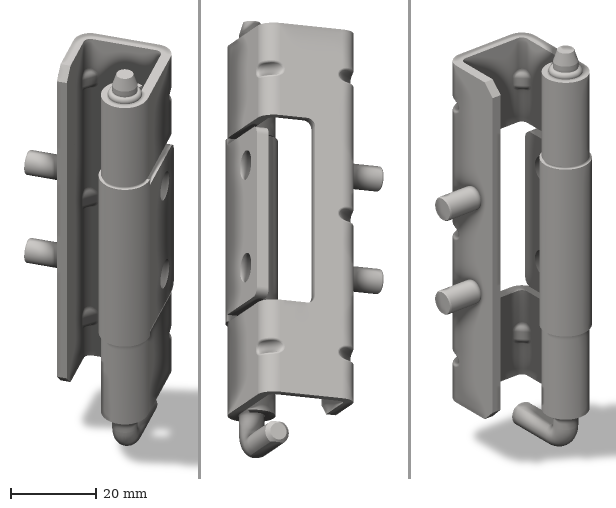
import cadquery as cq
import math


BORE_DIA = 6.4
CURL_END_ANGLE = 60

BRACKET_THICKNESS = 2.5
BRACKET_HEIGHT = 90.0
BRACKET_WIDTH = 23.9
BRACKET_BACK_Y = 22.4
BRACKET_BEND_RADIUS = 4.0
SHORT_LEG_END_Y = 4.8
SHORT_LEG_CHAMFER = 3.0
WINDOW_HEIGHT = 45.0
WINDOW_DEPTH = 12.9
WINDOW_FILLET = 2.0

RIB_SPACING = 33.9
RIB_COUNT = 3
RIB_HEIGHT = 4.5
RIB_EDGE_FILLET = 1.3
RIB_LEG = 2.9
RIB_BLEND_RADIUS = 0.6
GROOVE_HEIGHT = 3.0
GROOVE_RIM_RADIUS = 0.5
GROOVE_LEG = 5.0

LEAF_THICKNESS = 3.0
LEAF_GAP = 0.4
LEAF_PLATE_INSET = 1.6
LEAF_END_Y = 19.1
LEAF_CORNER_RADIUS = 2.0
LEAF_HOLE_DIA = 7.0

STUD_SPACING = 25.0
STUD_Y = 11.9
STUD_DIA = 6.0
STUD_LENGTH = 9.4
STUD_NECK_DIA = 5.8
STUD_NECK_LENGTH = 0.3
STUD_CHAMFER_LENGTH = 0.3
STUD_CHAMFER_DEPTH = 0.2

PIN_DIA = 6.0
PIN_TOP = 5.9
PIN_CONE_HEIGHT = 3.0
PIN_TIP_DIA = 4.0
PIN_BOTTOM = 10.6
ARM_HEIGHT = 5.0
ARM_END_Y = 17.3
ARM_CHAMFER = 1.0
BEND_INNER_RADIUS = 1.0

RING_OUTER_DIA = 8.0
RING_HEIGHT = 1.3

BORE_RADIUS = BORE_DIA / 2
PIN_RADIUS = PIN_DIA / 2
MID_Z = BRACKET_HEIGHT / 2
BRACKET_RIGHT_X = BORE_RADIUS + BRACKET_THICKNESS
BRACKET_LEFT_X = BRACKET_RIGHT_X - BRACKET_WIDTH
BRACKET_MID_X = BRACKET_RIGHT_X - BRACKET_WIDTH / 2
WINDOW_BOTTOM_Z = MID_Z - WINDOW_HEIGHT / 2
LEAF_HEIGHT = WINDOW_HEIGHT - LEAF_GAP
STUD_HEIGHTS = [MID_Z - STUD_SPACING / 2, MID_Z + STUD_SPACING / 2]
CLEAR = 2 * BRACKET_WIDTH


def block(x_min, x_max, y_min, y_max, z_min, z_max):
    """Rectangular block between the given limits."""
    size = (x_max - x_min, y_max - y_min, z_max - z_min)
    return cq.Workplane("XY").box(*size, centered=False).translate((x_min, y_min, z_min))


def polar(radius, degrees):
    """Point at a radius and direction from the hinge axis."""
    angle = math.radians(degrees)
    return (radius * math.cos(angle), radius * math.sin(angle))


def knuckle_curl(thickness, height):
    """Sheet rolled from +X around -Y and -X until its end face comes back to the plate."""
    outer_radius = BORE_RADIUS + thickness
    middle_angle = CURL_END_ANGLE / 2 - 180
    return (
        cq.Workplane("XY")
        .moveTo(outer_radius, 0)
        .threePointArc(polar(outer_radius, middle_angle), polar(outer_radius, CURL_END_ANGLE))
        .lineTo(*polar(BORE_RADIUS, CURL_END_ANGLE))
        .threePointArc(polar(BORE_RADIUS, middle_angle), (BORE_RADIUS, 0))
        .close()
        .extrude(height)
    )


def channel_envelope():
    """Solid block inside the outer surface of the bracket channel."""
    envelope = block(BRACKET_LEFT_X, BRACKET_RIGHT_X, 0, BRACKET_BACK_Y, 0, BRACKET_HEIGHT)
    return envelope.edges("|Z and >Y").fillet(BRACKET_BEND_RADIUS)


def channel_interior():
    """Solid block that fills the space inside the bracket channel."""
    interior = block(
        BRACKET_LEFT_X + BRACKET_THICKNESS, BORE_RADIUS,
        0, BRACKET_BACK_Y - BRACKET_THICKNESS,
        0, BRACKET_HEIGHT,
    )
    return interior.edges("|Z and >Y").fillet(BRACKET_BEND_RADIUS - BRACKET_THICKNESS)


def channel():
    """Bent sheet with a short leg on -X, chamfered at its corners, and a long leg on +X."""
    short_leg_tip = block(BRACKET_LEFT_X, BORE_RADIUS, 0, SHORT_LEG_END_Y, 0, BRACKET_HEIGHT)
    sheet = channel_envelope().cut(channel_interior()).cut(short_leg_tip)
    for z in (0, BRACKET_HEIGHT):
        corner = (BRACKET_LEFT_X + BRACKET_THICKNESS / 2, SHORT_LEG_END_Y, z)
        sheet = sheet.edges(cq.selectors.NearestToPointSelector(corner)).chamfer(SHORT_LEG_CHAMFER)
    return sheet


def corner_bars(bar):
    """Place a bar that lies along Y and faces +X diagonally across both bends, at every rib height."""
    left = bar.rotate((0, 0, 0), (0, 0, 1), -45).translate((BRACKET_LEFT_X, BRACKET_BACK_Y, MID_Z))
    right = left.mirror("YZ", (BRACKET_MID_X, 0, 0))
    bars = []
    for i in range(RIB_COUNT):
        lift = (0, 0, (i - (RIB_COUNT - 1) / 2) * RIB_SPACING)
        bars += [left.translate(lift), right.translate(lift)]
    return bars


def rib_bars():
    """Round-edged bars whose crests bridge the inside of the bends."""
    crest_depth = (2 * BRACKET_THICKNESS + RIB_LEG) / math.sqrt(2)
    bar = cq.Workplane("XZ").rect(2 * crest_depth, RIB_HEIGHT).extrude(BRACKET_WIDTH / 2, both=True)
    return corner_bars(bar.edges("|Y and >X").fillet(RIB_EDGE_FILLET))


def groove_bars():
    """Round-bottomed bars that press the ribs in from the outside of the bends."""
    groove_depth = GROOVE_LEG / math.sqrt(2)
    bar = cq.Workplane("XZ").slot2D(2 * groove_depth, GROOVE_HEIGHT).extrude(BRACKET_WIDTH / 2, both=True)
    return corner_bars(bar)


def round_outline(body, tool, radius):
    """Round the outline that a rib or groove, given by its own solid, leaves on the sheet surface."""
    limits = tool.val().BoundingBox()
    margin = radius / 10
    zone = cq.selectors.BoxSelector(
        (limits.xmin - margin, limits.ymin - margin, limits.zmin - margin),
        (limits.xmax + margin, limits.ymax + margin, limits.zmax + margin),
        boundingbox=True,
    )
    return body.edges(zone).edges("not (%LINE and #Z)").fillet(radius)


def bracket_window():
    """Opening through the long leg and part of the back that makes room for the leaf."""
    window = block(
        BRACKET_RIGHT_X - WINDOW_DEPTH, CLEAR,
        -CLEAR, CLEAR,
        WINDOW_BOTTOM_Z, WINDOW_BOTTOM_Z + WINDOW_HEIGHT,
    )
    window = window.edges("|Y and <X").fillet(WINDOW_FILLET)
    knuckle_space = block(
        -BRACKET_RIGHT_X, BRACKET_RIGHT_X,
        -BRACKET_RIGHT_X, BRACKET_RIGHT_X,
        WINDOW_BOTTOM_Z, WINDOW_BOTTOM_Z + WINDOW_HEIGHT,
    )
    return window.union(knuckle_space)


def make_bracket():
    """Channel with stamped ribs, a window for the leaf, and a knuckle above and below the window."""
    body = channel()
    for bar in groove_bars():
        groove = bar.intersect(channel_envelope())
        body = round_outline(body.cut(groove), groove, GROOVE_RIM_RADIUS)
    for bar in rib_bars():
        rib = bar.intersect(channel_interior())
        body = round_outline(body.union(rib), rib, RIB_BLEND_RADIUS)
    return body.union(knuckle_curl(BRACKET_THICKNESS, BRACKET_HEIGHT)).cut(bracket_window())


def make_leaf():
    """Drilled flat leaf with a rolled knuckle, standing in the bracket window."""
    plate = block(
        BORE_RADIUS, BORE_RADIUS + LEAF_THICKNESS,
        0, LEAF_END_Y,
        WINDOW_BOTTOM_Z + LEAF_PLATE_INSET, WINDOW_BOTTOM_Z + LEAF_HEIGHT - LEAF_PLATE_INSET,
    )
    plate = plate.edges("|X and >Y").fillet(LEAF_CORNER_RADIUS)
    for z in STUD_HEIGHTS:
        hole = cq.Workplane("YZ").center(STUD_Y, z).circle(LEAF_HOLE_DIA / 2).extrude(CLEAR)
        plate = plate.cut(hole)
    curl = knuckle_curl(LEAF_THICKNESS, LEAF_HEIGHT).translate((0, 0, WINDOW_BOTTOM_Z))
    return plate.union(curl)


def make_stud(z):
    """Stud standing on the outside of the short leg, with a narrow neck and a chamfered tip."""
    radius = STUD_DIA / 2
    neck_radius = STUD_NECK_DIA / 2
    profile = [
        (0, 0),
        (neck_radius, 0),
        (neck_radius, STUD_NECK_LENGTH),
        (radius, STUD_NECK_LENGTH),
        (radius, STUD_LENGTH - STUD_CHAMFER_LENGTH),
        (radius - STUD_CHAMFER_DEPTH, STUD_LENGTH),
        (0, STUD_LENGTH),
    ]
    stud = cq.Workplane("XY").polyline(profile).close().revolve(360, (0, 0, 0), (0, 1, 0))
    return stud.rotate((0, 0, 0), (0, 0, 1), 90).translate((BRACKET_LEFT_X, STUD_Y, z))


def make_pin():
    """Round pin with a tapered tip, bent at the bottom into a flattened handle arm along +Y."""
    bend_radius = BEND_INNER_RADIUS + PIN_RADIUS
    arm_z = ARM_HEIGHT / 2 - PIN_BOTTOM
    bend_z = arm_z + bend_radius
    top_z = BRACKET_HEIGHT + PIN_TOP

    shaft_profile = [
        (0, bend_z),
        (PIN_RADIUS, bend_z),
        (PIN_RADIUS, top_z - PIN_CONE_HEIGHT),
        (PIN_TIP_DIA / 2, top_z),
        (0, top_z),
    ]
    shaft = cq.Workplane("XZ").polyline(shaft_profile).close().revolve(360, (0, 0, 0), (0, 1, 0))

    bend = (
        cq.Workplane("XY", origin=(0, 0, bend_z))
        .circle(PIN_RADIUS)
        .revolve(90, (-1.1, bend_radius, 0), (1.1, bend_radius, 0))
    )
    arm = (
        cq.Workplane("XZ", origin=(0, bend_radius, arm_z))
        .circle(PIN_RADIUS)
        .extrude(bend_radius - ARM_END_Y)
        .faces(">Y").chamfer(ARM_CHAMFER)
    )
    above_arm = block(-CLEAR, CLEAR, bend_radius, CLEAR, arm_z + ARM_HEIGHT / 2, 0)
    below_arm = block(-CLEAR, CLEAR, -CLEAR, CLEAR, -CLEAR, -PIN_BOTTOM)
    return shaft.union(bend).union(arm.cut(above_arm)).cut(below_arm)


def make_ring():
    """Retaining ring on the pin, resting on the bracket, with its top rounded from rim to bore."""
    ring = (
        cq.Workplane("XY", origin=(0, 0, BRACKET_HEIGHT))
        .circle(RING_OUTER_DIA / 2)
        .extrude(RING_HEIGHT)
        .faces(">Z").edges().fillet(RING_OUTER_DIA / 2 - PIN_RADIUS)
    )
    bore = cq.Workplane("XY", origin=(0, 0, BRACKET_HEIGHT)).circle(PIN_RADIUS).extrude(RING_HEIGHT)
    return ring.cut(bore)


bracket = make_bracket()
leaf = make_leaf()
pin = make_pin()
ring = make_ring()
studs = [make_stud(z) for z in STUD_HEIGHTS]

result = cq.Compound.makeCompound(
    [bracket.val(), leaf.val(), pin.val(), ring.val(), *[stud.val() for stud in studs]]
)